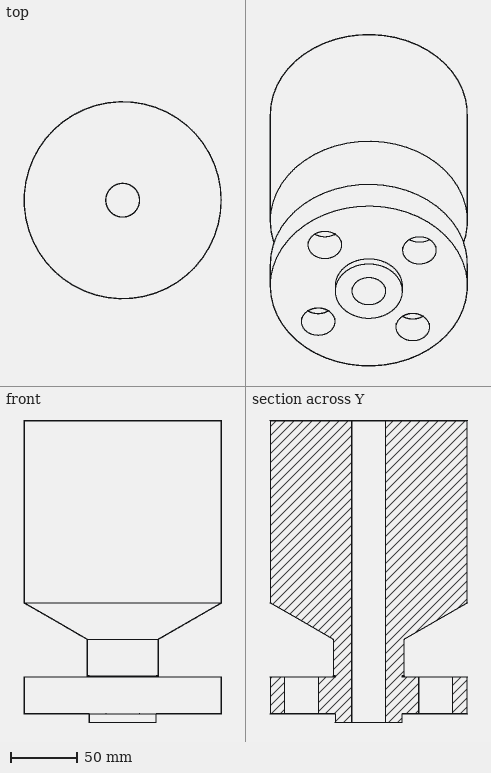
import cadquery as cq

total_height = 228.5
outer_diameter = 149.3
outer_radius = outer_diameter / 2

spigot_height = 6.6
flange_thickness = 28.1
relief_height = 0.7
neck_height = 27.7
cone_height = 27.5

spigot_diameter = 50.7
neck_diameter = 54.0

hole_diameter = 25.4
bolt_count = 4
bolt_circle_radius = 50.7

flange_bottom = spigot_height
flange_top = flange_bottom + flange_thickness
neck_bottom = flange_top + relief_height
cone_bottom = neck_bottom + neck_height
cone_top = cone_bottom + cone_height


def turned_body():
    """Spigot, flange, relief, neck, cone and upper cylinder as one revolved half-section."""
    spigot_radius = spigot_diameter / 2
    neck_radius = neck_diameter / 2
    half_section = [
        (0, 0),
        (spigot_radius, 0),
        (spigot_radius, flange_bottom),
        (outer_radius, flange_bottom),
        (outer_radius, flange_top),
        (spigot_radius, flange_top),
        (spigot_radius, neck_bottom),
        (neck_radius, neck_bottom),
        (neck_radius, cone_bottom),
        (outer_radius, cone_top),
        (outer_radius, total_height),
        (0, total_height),
    ]
    return cq.Workplane("XZ").polyline(half_section).close().revolve(360, (0, 0), (0, 1))


def axial_bore():
    """Bore along the axis through the full height."""
    return cq.Workplane("XY").circle(hole_diameter / 2).extrude(total_height)


def bolt_holes():
    """Holes through the flange only, centred on the X and Y axes."""
    return (
        cq.Workplane("XY", origin=(0, 0, flange_bottom))
        .polarArray(bolt_circle_radius, 0, 360, bolt_count)
        .circle(hole_diameter / 2)
        .extrude(flange_thickness)
    )


result = turned_body().cut(axial_bore()).cut(bolt_holes())